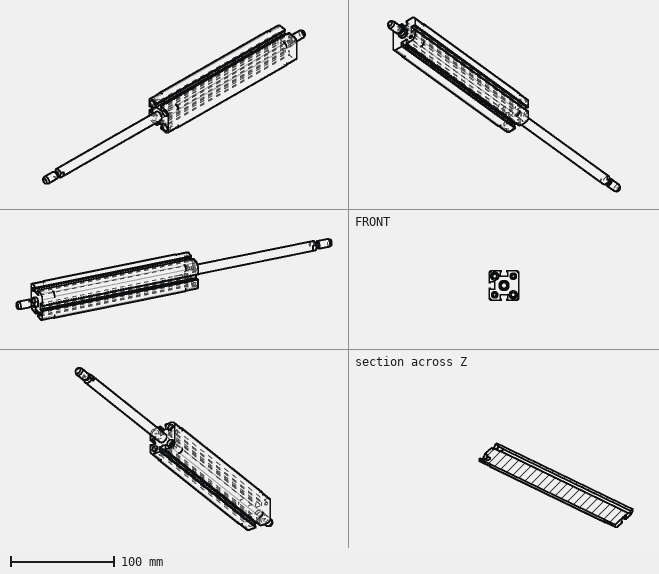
import cadquery as cq

total_length = 329.0
body_back = 144.0
body_front = -19.5
cap_length = 12.8

body_width = 29.0
cap_corner_radius = 4.3
tube_corner_radius = 3.3

slot_throat = 5.5
slot_cavity = 7.0
slot_depth = 5.3
slot_lip = 1.3

rod_diameter = 9.5
thread_diameter = 8.0
thread_length = 13.0
thread_chamfer = 2.3
tip_diameter = 6.0
neck_diameter = 6.0
neck_length = 2.3
thread_bevel = 0.5
flat_width = 8.0
flat_start = 144.5

corner_spacing = 18.0
socket_steps = [(7.5, 4.0), (4.3, 8.0)]
through_hole_steps = [(6.0, 4.0), (4.3, 10.0), (3.25, body_back - body_front)]


def y_cylinder(diameter, start, end, x=0, z=0):
    """Cylinder along Y from start to end."""
    plane = cq.Plane(origin=(x, start, z), xDir=(1, 0, 0), normal=(0, 1, 0))
    return cq.Workplane(plane).circle(diameter / 2).extrude(end - start)


def square_bar(start, end, corner_radius):
    """Square bar along Y with rounded long edges."""
    return (
        cq.Workplane("XY")
        .box(body_width, end - start, body_width)
        .edges("|Y")
        .fillet(corner_radius)
        .translate((0, (start + end) / 2, 0))
    )


def make_slot():
    """T-slot cutter for the top face: a narrow throat over a wider cavity."""
    length = body_back - body_front
    middle = (body_back + body_front) / 2
    surface = body_width / 2
    cavity_height = slot_depth - slot_lip
    throat = cq.Workplane("XY").box(slot_throat, length, slot_depth)
    throat = throat.translate((0, middle, surface - slot_depth / 2))
    cavity = cq.Workplane("XY").box(slot_cavity, length, cavity_height)
    cavity = cavity.translate((0, middle, surface - slot_depth + cavity_height / 2))
    return throat.union(cavity)


def make_body():
    tube_front = body_front + cap_length
    tube_back = body_back - cap_length
    body = square_bar(tube_front, tube_back, tube_corner_radius)
    body = body.union(square_bar(body_front, tube_front, cap_corner_radius))
    body = body.union(square_bar(tube_back, body_back, cap_corner_radius))
    slot = make_slot()
    for angle in (0, -90, 180):
        body = body.cut(slot.rotate((0, 0, 0), (0, 1, 0), angle))
    return body


def cut_corner_holes(body):
    """Screw sockets on one diagonal of the front, stepped through holes on the other."""
    for side in (-1, 1):
        x = side * corner_spacing / 2
        for diameter, depth in socket_steps:
            body = body.cut(y_cylinder(diameter, body_front, body_front + depth, x, -x))
        for diameter, depth in through_hole_steps:
            body = body.cut(y_cylinder(diameter, body_front, body_front + depth, x, x))
    return body


def make_rod():
    """Rod through the whole cylinder with the same threaded end on both sides."""
    tip = total_length / 2
    thread_start = tip - thread_length
    neck_start = thread_start - neck_length
    cone_start = neck_start - (rod_diameter - neck_diameter) / 2
    half_profile = [
        (tip_diameter / 2, tip),
        (thread_diameter / 2, tip - thread_chamfer),
        (thread_diameter / 2, thread_start),
        (neck_diameter / 2, thread_start - thread_bevel),
        (neck_diameter / 2, neck_start),
        (rod_diameter / 2, cone_start),
    ]
    other_half = [(r, -y) for r, y in reversed(half_profile)]
    rod = (
        cq.Workplane("XY")
        .polyline([(0, tip)] + half_profile + other_half + [(0, -tip)])
        .close()
        .revolve(360, (0, 0, 0), (0, 1, 0))
    )
    chip_depth = (rod_diameter - flat_width) / 2
    chip = (
        cq.Workplane("XY", origin=(0, 0, -rod_diameter / 2))
        .moveTo(flat_width / 2, flat_start)
        .lineTo(rod_diameter / 2, flat_start - chip_depth)
        .lineTo(rod_diameter / 2, neck_start)
        .lineTo(flat_width / 2, neck_start)
        .close()
        .extrude(rod_diameter)
    )
    chip_pair = chip.union(chip.mirror("YZ"))
    return rod.cut(chip_pair).cut(chip_pair.mirror("XZ"))


result = cut_corner_holes(make_body()).union(make_rod())